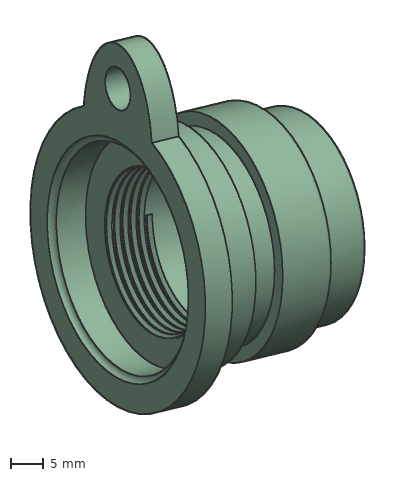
import cadquery as cq

EDGE_RADIUS = 1.0

FLANGE_DIAMETER = 49.1
FLANGE_THICKNESS = 5.0
LUG_TOP = 60.55 - FLANGE_DIAMETER / 2
LUG_HALF_WIDTH = 9.7
LUG_HALF_HEIGHT = 16.0
LUG_CENTER = LUG_TOP - LUG_HALF_HEIGHT
LUG_HOLE_DIAMETER = 7.0
LUG_HOLE_HEIGHT = 28.6

LENGTH = 35.0
BODY_DIAMETER = 40.0
BODY_END = 27.0
NOSE_DIAMETER = 35.0
GROOVE_DIAMETER = 35.4
GROOVE_START = 12.5
GROOVE_WIDTH = 5.0

RECESS_DIAMETER = 37.5
RECESS_DEPTH = 6.5
BORE_DIAMETER = 26.75
THREAD_DIAMETER = 28.2
THREAD_PITCH = 1.5
THREAD_TURNS = 5.5
THREAD_ROOT_FLAT = 0.2
THREAD_MOUTH = 1.2
THREAD_OVERLAP = 0.2


def cylinder(diameter, start, length):
    """Cylinder on the Y axis, running toward +Y from start."""
    return cq.Workplane("XZ", origin=(0, start, 0)).circle(diameter / 2).extrude(-length)


def make_flange():
    """Round flange with an elliptical lug and its hole."""
    lug = (
        cq.Workplane("XZ")
        .center(0, LUG_CENTER)
        .ellipse(LUG_HALF_WIDTH, LUG_HALF_HEIGHT)
        .extrude(-FLANGE_THICKNESS)
    )
    hole = cylinder(LUG_HOLE_DIAMETER, 0, FLANGE_THICKNESS).translate((0, 0, LUG_HOLE_HEIGHT))
    return cylinder(FLANGE_DIAMETER, 0, FLANGE_THICKNESS).union(lug).cut(hole)


def make_body():
    """Stepped body with rounded rear edges and a ring groove."""
    body = cylinder(BODY_DIAMETER, 0, BODY_END).faces(">Y").edges().fillet(EDGE_RADIUS)
    nose = cylinder(NOSE_DIAMETER, 0, LENGTH).faces(">Y").edges().fillet(EDGE_RADIUS)
    ring = cylinder(BODY_DIAMETER, GROOVE_START, GROOVE_WIDTH)
    ring = ring.cut(cylinder(GROOVE_DIAMETER, GROOVE_START, GROOVE_WIDTH))
    return body.cut(ring).union(nose)


def make_recess():
    """Front recess whose mouth is rounded outward."""
    radius = RECESS_DIAMETER / 2
    return (
        cq.Workplane("XY")
        .lineTo(radius + EDGE_RADIUS, 0)
        .radiusArc((radius, EDGE_RADIUS), -EDGE_RADIUS)
        .lineTo(radius, RECESS_DEPTH)
        .lineTo(0, RECESS_DEPTH)
        .close()
        .revolve(360, (0, 0, 0), (0, 1, 0))
    )


def make_thread_cutter():
    """Right-hand helical groove that runs out through the recess floor."""
    bore_radius = BORE_DIAMETER / 2
    inner_radius = bore_radius - THREAD_OVERLAP
    root_radius = THREAD_DIAMETER / 2
    slope = (THREAD_MOUTH - THREAD_ROOT_FLAT) / (root_radius - bore_radius)
    inner_half_width = (THREAD_MOUTH + slope * THREAD_OVERLAP) / 2
    root_half_width = THREAD_ROOT_FLAT / 2
    path = cq.Wire.makeHelix(THREAD_PITCH, (THREAD_TURNS + 1) * THREAD_PITCH, bore_radius)
    cutter = (
        cq.Workplane("XZ")
        .moveTo(inner_radius, -inner_half_width)
        .lineTo(root_radius, -root_half_width)
        .lineTo(root_radius, root_half_width)
        .lineTo(inner_radius, inner_half_width)
        .close()
        .sweep(cq.Workplane(path), isFrenet=True)
    )
    cutter = cutter.rotate((0, 0, 0), (1, 0, 0), -90)
    return cutter.translate((0, RECESS_DEPTH - THREAD_PITCH, 0))


result = (
    make_flange()
    .union(make_body())
    .cut(make_recess())
    .cut(cylinder(BORE_DIAMETER, 0, LENGTH))
    .cut(make_thread_cutter())
)